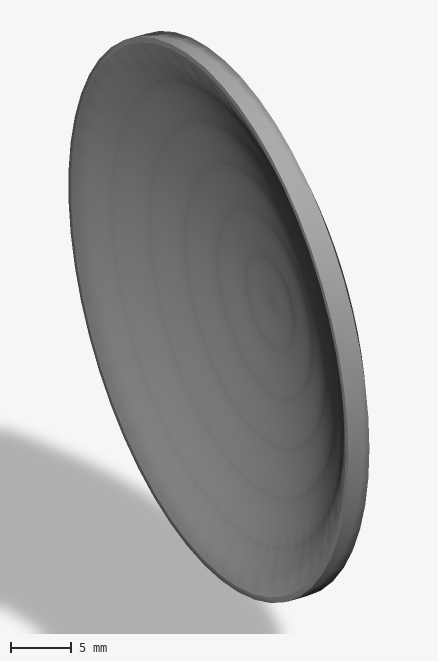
import cadquery as cq
import math

outer_radius = 24.15
total_depth = 8.0
rim_height = 2.0

lip_width = 0.5
cavity_depth = 6.0

cavity_radius = outer_radius - lip_width
dome_height = total_depth - rim_height


def cap_arc_point(base_radius, height, base_y):
    """Point on the profile of a spherical cap, at half its base radius."""
    sphere_radius = (base_radius**2 + height**2) / (2 * height)
    sphere_center_y = base_y + height - sphere_radius
    x = base_radius / 2
    return x, sphere_center_y + math.sqrt(sphere_radius**2 - x**2)


profile = (
    cq.Workplane("XY")
    .moveTo(0, cavity_depth)
    .threePointArc(cap_arc_point(cavity_radius, cavity_depth, 0), (cavity_radius, 0))
    .lineTo(outer_radius, 0)
    .lineTo(outer_radius, rim_height)
    .threePointArc(cap_arc_point(outer_radius, dome_height, rim_height), (0, total_depth))
    .close()
)

result = profile.revolve(360, (0, 0, 0), (0, 1, 0))